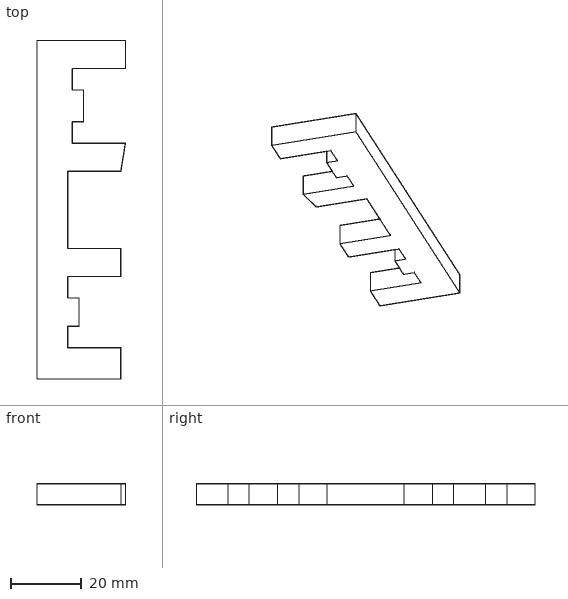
import cadquery as cq

length = 95.6
thickness = 6.0

arm_reach = 15.0
tab_reach = 3.2
upper_spine_width = 10.0
lower_spine_width = 8.7
upper_tip_x = upper_spine_width + arm_reach
lower_tip_x = lower_spine_width + arm_reach
upper_tab_x = upper_spine_width + tab_reach
lower_tab_x = lower_spine_width + tab_reach

arm_width = 8.0
end_arm_width = 8.9
tab_gap = 6.0
upper_tab_width = 9.0
lower_tab_width = 8.0

top_arm_y = length - arm_width
upper_tab_top_y = top_arm_y - tab_gap
upper_tab_bottom_y = upper_tab_top_y - upper_tab_width
slanted_arm_top_y = upper_tab_bottom_y - tab_gap
slanted_arm_bottom_y = slanted_arm_top_y - arm_width

lower_tab_bottom_y = end_arm_width + tab_gap
lower_tab_top_y = lower_tab_bottom_y + lower_tab_width
third_arm_bottom_y = lower_tab_top_y + tab_gap
third_arm_top_y = third_arm_bottom_y + arm_width


def upper_bay_points():
    """Edge from the top end arm down to the slanted-tip arm, with its tab."""
    return [
        (upper_tip_x, length),
        (upper_tip_x, top_arm_y),
        (upper_spine_width, top_arm_y),
        (upper_spine_width, upper_tab_top_y),
        (upper_tab_x, upper_tab_top_y),
        (upper_tab_x, upper_tab_bottom_y),
        (upper_spine_width, upper_tab_bottom_y),
        (upper_spine_width, slanted_arm_top_y),
        (upper_tip_x, slanted_arm_top_y),
        (lower_tip_x, slanted_arm_bottom_y),
    ]


def lower_bay_points():
    """Edge from the central gap down to the bottom end arm, with its tab."""
    return [
        (lower_spine_width, slanted_arm_bottom_y),
        (lower_spine_width, third_arm_top_y),
        (lower_tip_x, third_arm_top_y),
        (lower_tip_x, third_arm_bottom_y),
        (lower_spine_width, third_arm_bottom_y),
        (lower_spine_width, lower_tab_top_y),
        (lower_tab_x, lower_tab_top_y),
        (lower_tab_x, lower_tab_bottom_y),
        (lower_spine_width, lower_tab_bottom_y),
        (lower_spine_width, end_arm_width),
        (lower_tip_x, end_arm_width),
        (lower_tip_x, 0),
    ]


back_edge_points = [(0, 0), (0, length)]
outline = upper_bay_points() + lower_bay_points() + back_edge_points

result = cq.Workplane("XY").polyline(outline).close().extrude(thickness)